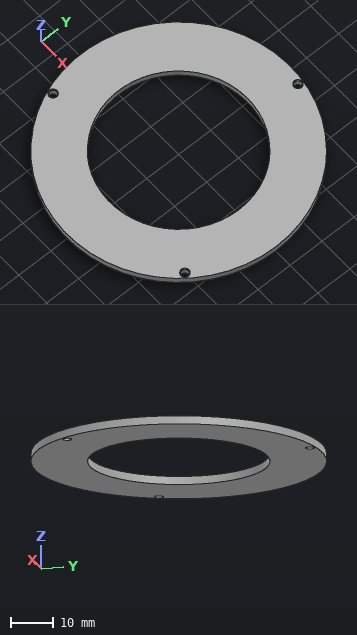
import cadquery as cq

outer_diameter = 69.8
inner_diameter = 43.0
thickness = 2.0

hole_count = 3
hole_circle_radius = 33.35
first_hole_angle = 81.5
hole_diameter = 2.0
countersink_diameter = 2.45
countersink_angle = 90.0


def make_ring():
    """Flat ring standing on the XY plane."""
    return (
        cq.Workplane("XY")
        .circle(outer_diameter / 2)
        .circle(inner_diameter / 2)
        .extrude(thickness)
    )


def cut_screw_holes(ring):
    """Evenly spaced through holes, countersunk from the top face."""
    return (
        ring.faces(">Z")
        .workplane(origin=(0, 0, thickness))
        .polarArray(hole_circle_radius, first_hole_angle, 360, hole_count)
        .cskHole(hole_diameter, countersink_diameter, countersink_angle)
    )


result = cut_screw_holes(make_ring())